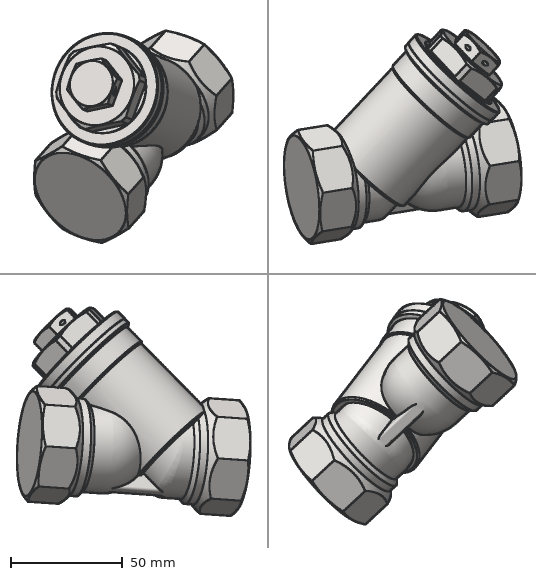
import cadquery as cq
import math


RUN_LENGTH = 96.1
NUT_FLATS = 48.0
NUT_SIDES = 8
NUT_INNER_END = 28.8
NUT_FACE_RADIUS = 23.5
FACE_CHAMFER_ANGLE = 30.0
COLLAR_RADIUS = 22.1
COLLAR_START = 23.0
TUBE_RADIUS = 20.0
DOME_CENTER = 14.2

CHAMBER_ANGLE = 45.0
CHAMBER_OFFSET = 20.5
CHAMBER_RADIUS = 23.0
CHAMBER_START = 4.0
BASE_CHAMFER = 0.8
BAND_RADIUS = 23.6
BAND_START = 46.8
BAND_CHAMFER = 0.7
FLANGE_RADIUS = 25.5
RIM_STEP = 0.1
RIM_START = 56.7
RIM_CHAMFER = 0.8
FLANGE_START = 60.0
FLANGE_END = 65.0
EDGE_BREAK = 0.4
SUMP_RADIUS = 20.3
SUMP_ROUNDING = 6.0

WEB_THICKNESS = 6.0
WEB_DEPTH = 19.7
WEB_ROUNDING = 1.2

HEAD_SIDES = 6
FACE_MARGIN = 0.2
SEAT_RADIUS = 20.0
SEAT_HEIGHT = 0.5
PLUG_FLATS = 36.0
PLUG_TOP = 74.6
CAP_FLATS = 21.0
CAP_TOP = 81.5
WIRE_HOLE_DIAMETER = 1.6
WIRE_HOLE_LEVEL = 77.7

YAW = -5.2
PITCH = 1.0

SLOPE = math.tan(math.radians(FACE_CHAMFER_ANGLE))


def prism_corner_diameter(flats, sides):
    """Diameter across the corners of a regular prism of the given width across flats."""
    return flats / math.cos(math.pi / sides)


def turned(profile):
    """Solid of revolution about Z from (radius, height) points."""
    return cq.Workplane("XZ").polyline(profile).close().revolve(360, (0, 0), (0, 1))


def end_nut():
    """Octagonal nut and its collar, standing along +Z from the pipe middle."""
    outer_end = RUN_LENGTH / 2
    corner_diameter = prism_corner_diameter(NUT_FLATS, NUT_SIDES)
    corner_radius = corner_diameter / 2
    octagon = (
        cq.Workplane("XY").workplane(offset=NUT_INNER_END)
        .polygon(NUT_SIDES, corner_diameter).extrude(outer_end - NUT_INNER_END)
        .rotate((0, 0, 0), (0, 0, 1), 180 / NUT_SIDES)
    )
    envelope = turned([
        (0, NUT_INNER_END),
        (COLLAR_RADIUS, NUT_INNER_END),
        (corner_radius, NUT_INNER_END + corner_radius - COLLAR_RADIUS),
        (corner_radius, outer_end - (corner_radius - NUT_FACE_RADIUS) * SLOPE),
        (NUT_FACE_RADIUS, outer_end),
        (0, outer_end),
    ])
    collar = turned([
        (0, COLLAR_START),
        (TUBE_RADIUS, COLLAR_START),
        (COLLAR_RADIUS, COLLAR_START + COLLAR_RADIUS - TUBE_RADIUS),
        (COLLAR_RADIUS, NUT_INNER_END),
        (0, NUT_INNER_END),
    ])
    return octagon.intersect(envelope).union(collar)


def along_pipe(shape, toward):
    """Lay a shape standing on Z along +Y (toward = 1) or -Y (toward = -1)."""
    return shape.rotate((0, 0, 0), (1, 0, 0), -90 * toward)


def along_chamber(shape):
    """Lay a shape standing on Z onto the inclined chamber axis."""
    return shape.rotate((0, 0, 0), (1, 0, 0), CHAMBER_ANGLE).translate((0, CHAMBER_OFFSET, 0))


def chamber():
    rim_radius = FLANGE_RADIUS - RIM_STEP
    return turned([
        (0, CHAMBER_START),
        (CHAMBER_RADIUS - BASE_CHAMFER, CHAMBER_START),
        (CHAMBER_RADIUS, CHAMBER_START + BASE_CHAMFER),
        (CHAMBER_RADIUS, BAND_START),
        (BAND_RADIUS, BAND_START + BAND_CHAMFER),
        (BAND_RADIUS, RIM_START),
        (rim_radius, RIM_START + RIM_CHAMFER),
        (rim_radius, FLANGE_START),
        (FLANGE_RADIUS, FLANGE_START),
        (FLANGE_RADIUS, FLANGE_END - EDGE_BREAK),
        (FLANGE_RADIUS - EDGE_BREAK, FLANGE_END),
        (SEAT_RADIUS, FLANGE_END),
        (SEAT_RADIUS, FLANGE_END + SEAT_HEIGHT),
        (0, FLANGE_END + SEAT_HEIGHT),
    ])


def hexagon_head(flats, bottom, top, turned_radius, face_radius):
    """Hexagon with flats on +-X, corners turned down and the top edge chamfered."""
    hexagon = (
        cq.Workplane("XY").workplane(offset=bottom)
        .polygon(HEAD_SIDES, prism_corner_diameter(flats, HEAD_SIDES)).extrude(top - bottom)
        .rotate((0, 0, 0), (0, 0, 1), 180 / HEAD_SIDES)
    )
    envelope = turned([
        (0, bottom),
        (turned_radius, bottom),
        (turned_radius, top - (turned_radius - face_radius) * SLOPE),
        (face_radius, top),
        (0, top),
    ])
    return hexagon.intersect(envelope)


def wire_hole(toward):
    """Hole cutting off a cap corner, from the middle of the flat facing +X (1) or -X (-1) to the next one."""
    half_corner = 180 / HEAD_SIDES
    distance = CAP_FLATS / 2 * math.cos(math.radians(half_corner))
    drill = cq.Workplane("XZ").center(distance, WIRE_HOLE_LEVEL).circle(WIRE_HOLE_DIAMETER / 2)
    corner_angle = 90 - toward * (90 - half_corner)
    return drill.extrude(CAP_FLATS / 2, both=True).rotate((0, 0, 0), (0, 0, 1), corner_angle)


def plug():
    seat_top = FLANGE_END + SEAT_HEIGHT
    large = hexagon_head(PLUG_FLATS, seat_top, PLUG_TOP, SEAT_RADIUS, PLUG_FLATS / 2 - FACE_MARGIN)
    cap_corner = prism_corner_diameter(CAP_FLATS, HEAD_SIDES) / 2
    cap = hexagon_head(CAP_FLATS, PLUG_TOP, CAP_TOP, cap_corner, CAP_FLATS / 2 - FACE_MARGIN)
    for toward in (-1, 1):
        cap = cap.cut(wire_hole(toward))
    return large.union(cap)


def tube(start, end):
    """Plain cylinder of the pipe run between two places along Y."""
    cylinder = cq.Workplane("XY").workplane(offset=start).circle(TUBE_RADIUS).extrude(end - start)
    return along_pipe(cylinder, 1)


def rear_tube():
    """Rear tube, trimmed below the chamber by the sump cylinder, with the trimmed edge rounded."""
    sump = along_chamber(cq.Workplane("XY").circle(SUMP_RADIUS).extrude(RUN_LENGTH / 2, both=True))
    return tube(0, COLLAR_START).intersect(sump).edges("%BSPLINE").fillet(SUMP_ROUNDING)


def front_tube():
    dome = cq.Workplane("XY").sphere(TUBE_RADIUS).translate((0, -DOME_CENTER, 0))
    return tube(-COLLAR_START, -DOME_CENTER).union(dome)


def web():
    plate = cq.Workplane("XY").box(WEB_THICKNESS, 2 * COLLAR_START, WEB_DEPTH, centered=(True, True, False))
    return plate.translate((0, 0, -WEB_DEPTH)).edges("|Y and <Z").fillet(WEB_ROUNDING)


fitting = along_chamber(chamber().union(plug()))
for section in (rear_tube(), front_tube(), web(), along_pipe(end_nut(), 1), along_pipe(end_nut(), -1)):
    fitting = fitting.union(section)

result = fitting.rotate((0, 0, 0), (1, 0, 0), PITCH).rotate((0, 0, 0), (0, 0, 1), YAW)